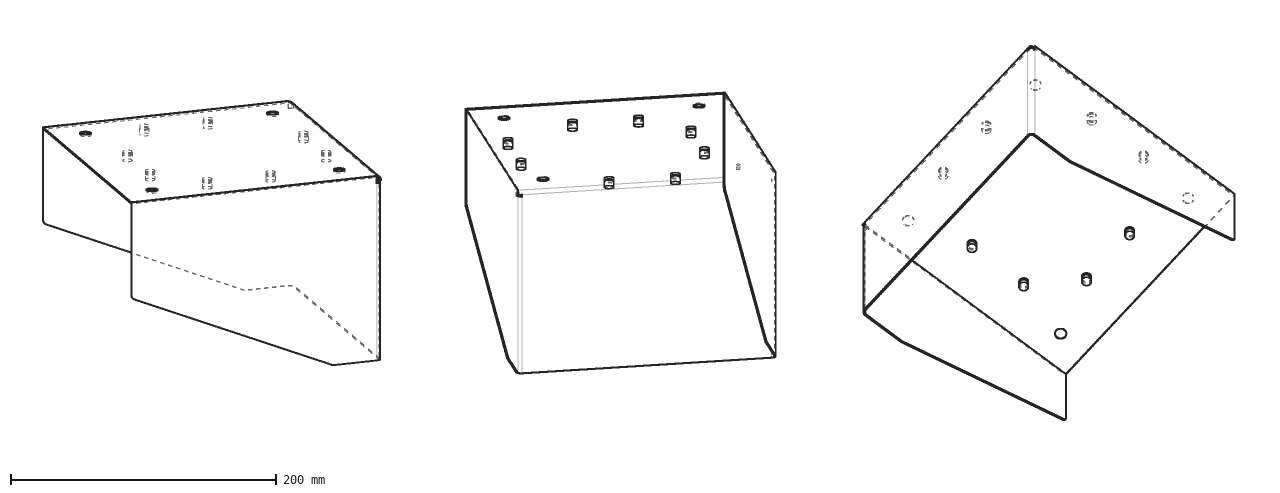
import cadquery as cq

width = 200.0
depth = 200.2
height = 146.0

sheet = 1.2
bend_radius = 4.0
inner_bend_radius = bend_radius - sheet
relief_height = 1.6
seam_gap = 0.1

front_edge_height = 76.0
foot_length = 39.0
corner_radius = 4.0

mount_spacing = 150.0
mount_hole_diameter = 8.6

stud_diameter = 7.2
stud_length = 8.2
stud_pair_spacing = 50.8
stud_square_half = 70.5
stud_square_x = -11.5
stud_square_y = 11.5

groove_start = 2.9
groove_width = 0.8
groove_depth = 0.2

side_x = width / 2
back_y = depth / 2
front_y = -back_y
bend_x = side_x - bend_radius
bend_y = back_y - bend_radius
wrap_top = -bend_radius - relief_height


def make_lower_wrap():
    """Cheeks and back wall below the reliefs, as one sheet with rounded back corners."""
    inner_x = side_x - sheet
    inner_y = back_y - sheet
    return (
        cq.Workplane("XY")
        .workplane(offset=-height)
        .moveTo(-side_x, front_y)
        .lineTo(-side_x, bend_y)
        .radiusArc((-bend_x, back_y), bend_radius)
        .lineTo(bend_x, back_y)
        .radiusArc((side_x, bend_y), bend_radius)
        .lineTo(side_x, front_y)
        .lineTo(inner_x, front_y)
        .lineTo(inner_x, bend_y)
        .radiusArc((bend_x, inner_y), -inner_bend_radius)
        .lineTo(-bend_x, inner_y)
        .radiusArc((-inner_x, bend_y), -inner_bend_radius)
        .lineTo(-inner_x, front_y)
        .close()
        .extrude(height + wrap_top)
    )


def make_upper_cheek(min_x):
    """Flat part of a cheek that rises past the corner relief to the top face."""
    cheek_depth = depth - bend_radius
    return (
        cq.Workplane("XY")
        .box(sheet, cheek_depth, -wrap_top, centered=False)
        .translate((min_x, front_y, wrap_top))
    )


def make_side_silhouette():
    """Solid as wide as the part that trims the cheeks to their sloped lower edge."""
    return (
        cq.Workplane("YZ")
        .moveTo(front_y, 0)
        .lineTo(back_y, 0)
        .lineTo(back_y, -height)
        .lineTo(back_y - foot_length, -height)
        .lineTo(front_y, -front_edge_height)
        .close()
        .extrude(side_x, both=True)
        .edges(cq.NearestToPointSelector((0, back_y - foot_length, -height)))
        .fillet(corner_radius)
        .edges(cq.NearestToPointSelector((0, front_y, -front_edge_height)))
        .fillet(corner_radius)
    )


def make_bent_top():
    """Top sheet, fitted between the cheeks and bent down at the back."""
    half_width = side_x - sheet - seam_gap
    return (
        cq.Workplane("YZ")
        .moveTo(front_y, 0)
        .lineTo(bend_y, 0)
        .radiusArc((back_y, -bend_radius), bend_radius)
        .lineTo(back_y - sheet, -bend_radius)
        .radiusArc((bend_y, -sheet), -inner_bend_radius)
        .lineTo(front_y, -sheet)
        .close()
        .extrude(half_width, both=True)
    )


def make_back_strip():
    """Back wall between the two corner reliefs, joining the bent top to the wrap."""
    return (
        cq.Workplane("XY")
        .box(2 * bend_x, sheet, relief_height, centered=(True, False, False))
        .translate((0, back_y - sheet, wrap_top))
    )


def make_mount_holes():
    return (
        cq.Workplane("XY")
        .rect(mount_spacing, mount_spacing, forConstruction=True)
        .vertices()
        .circle(mount_hole_diameter / 2)
        .extrude(-sheet)
    )


def stud_positions():
    """Two studs on each side of the square, each pair centred on the part's axes."""
    points = []
    for side in (-stud_square_half, stud_square_half):
        for along in (-stud_pair_spacing / 2, stud_pair_spacing / 2):
            points.append((along, stud_square_y + side))
            points.append((stud_square_x + side, along))
    return points


def make_studs():
    points = stud_positions()
    stud_radius = stud_diameter / 2
    studs = cq.Workplane("XY").pushPoints(points).circle(stud_radius).extrude(-stud_length)
    grooves = (
        cq.Workplane("XY")
        .workplane(offset=-groove_start)
        .pushPoints(points)
        .circle(stud_radius)
        .circle(stud_radius - groove_depth)
        .extrude(-groove_width)
    )
    return studs.cut(grooves)


walls = make_lower_wrap().union(make_upper_cheek(-side_x)).union(make_upper_cheek(side_x - sheet))
walls = walls.intersect(make_side_silhouette())
top = make_bent_top().union(make_back_strip()).cut(make_mount_holes())
result = walls.union(top).union(make_studs())